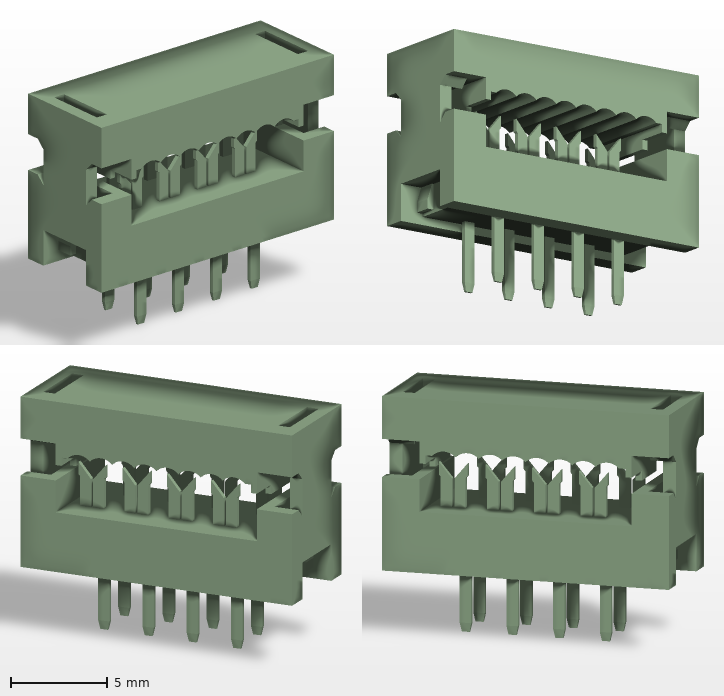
import cadquery as cq


LENGTH = 15.61
DEPTH = 6.0
BODY_TOP = 9.27
END_Y = LENGTH / 2

SHOULDER_TOP = 4.98
CHANNEL_FLOOR = 3.25
WINDOW_HALF = 5.78
UNDERSIDE_RELIEF = 0.44
END_NOTCH_TOP = 2.0

COVER_END_BOTTOM = 7.0
VALLEY_Z = 6.28
APEX_Z = 6.54
GUIDE_BOTTOM = 5.82
GUIDE_TIP = 5.3
GUIDE_TIP_DEPTH = 2.5
GUIDE_INNER = 5.45

LEG_WIDTH = 3.51
LEG_HALF = LEG_WIDTH / 2
LEG_INNER = 7.09
SLOT_INNER = 6.42
SLOT_FLOOR = CHANNEL_FLOOR
BEVEL = 0.45

HOOK_GAP = 1.58
HOOK_REACH = 0.37
HOOK_BOTTOM = 0.61
HOOK_LIP_TOP = 1.12
HOOK_RAMP_TOP = 2.33
RECESS_DEPTH = 0.45

PIN_PITCH = 2.55
PITCH = PIN_PITCH / 2
CONTACT_COUNT = 8
ROW_X = PITCH
CONTACT_THICKNESS = 0.25
CONTACT_HALF = 0.69
BARB_HALF = 0.78
WIRE_SLOT_HALF = 0.06
CONTACT_ROOT = 1.87
FORK_TOP = 5.62
THROAT_Z = 4.78
BARB_BOTTOM = 4.95

PIN_WIDTH = 0.62
PIN_ROW_SHIFT = 0.03
PIN_SHOULDER = -2.84
PIN_TIP = -3.32
PIN_TIP_WIDTH = 0.42
PIN_TIP_THICKNESS = 0.14


def box(x_range, y_range, z_range):
    """Axis-aligned box between the given limits."""
    size = [high - low for low, high in (x_range, y_range, z_range)]
    corner = cq.Vector(x_range[0], y_range[0], z_range[0])
    return cq.Workplane(cq.Solid.makeBox(*size, corner))


def centred(size):
    """Limits of a span centred on zero."""
    return (-size / 2, size / 2)


def both_ends(shape):
    """The shape together with its mirror image at the other end."""
    return shape.union(shape.mirror("XZ"))


def make_base():
    base = box(centred(DEPTH), centred(LENGTH), (0, SHOULDER_TOP))
    channel = box(centred(DEPTH), centred(2 * WINDOW_HALF), (CHANNEL_FLOOR, SHOULDER_TOP))
    relief = box(centred(LEG_WIDTH), centred(LENGTH), (0, UNDERSIDE_RELIEF))
    end_notch = box(centred(LEG_WIDTH), (SLOT_INNER, END_Y), (0, END_NOTCH_TOP))
    return base.cut(channel).cut(relief).cut(both_ends(end_notch))


def make_cover():
    """Cover extruded along X from its scalloped outline in the YZ plane."""
    scallop_end = CONTACT_COUNT * PITCH / 2
    outline = (
        cq.Workplane("YZ")
        .moveTo(-END_Y, BODY_TOP)
        .lineTo(-END_Y, COVER_END_BOTTOM)
        .lineTo(-WINDOW_HALF, COVER_END_BOTTOM)
        .lineTo(-WINDOW_HALF, GUIDE_BOTTOM)
        .lineTo(-GUIDE_INNER, GUIDE_BOTTOM)
        .lineTo(-GUIDE_INNER, VALLEY_Z)
        .lineTo(-scallop_end, VALLEY_Z)
    )
    for index in range(CONTACT_COUNT):
        start = -scallop_end + index * PITCH
        outline = outline.threePointArc((start + PITCH / 2, APEX_Z), (start + PITCH, VALLEY_Z))
    outline = (
        outline.lineTo(GUIDE_INNER, VALLEY_Z)
        .lineTo(GUIDE_INNER, GUIDE_BOTTOM)
        .lineTo(WINDOW_HALF, GUIDE_BOTTOM)
        .lineTo(WINDOW_HALF, COVER_END_BOTTOM)
        .lineTo(END_Y, COVER_END_BOTTOM)
        .lineTo(END_Y, BODY_TOP)
        .close()
    )
    cover = outline.extrude(DEPTH / 2, both=True)
    guide_tip = box(centred(GUIDE_TIP_DEPTH), (GUIDE_INNER, WINDOW_HALF), (GUIDE_TIP, GUIDE_BOTTOM))
    return cover.union(both_ends(guide_tip))


def end_prism(points):
    """XZ outline extruded over the length of a latch end, at both ends."""
    prism = cq.Workplane("XZ", origin=(0, END_Y, 0)).polyline(points).close()
    return both_ends(prism.extrude(END_Y - SLOT_INNER))


def make_legs():
    """Legs joining cover to base, widened by bevels where they meet the cover."""
    bevel_bottom = COVER_END_BOTTOM - BEVEL
    leg = box(centred(LEG_WIDTH), (LEG_INNER, END_Y), (END_NOTCH_TOP, BODY_TOP))
    gusset = end_prism([
        (-LEG_HALF - BEVEL, COVER_END_BOTTOM),
        (-LEG_HALF, bevel_bottom),
        (LEG_HALF, bevel_bottom),
        (LEG_HALF + BEVEL, COVER_END_BOTTOM),
    ])
    return both_ends(leg).union(gusset)


def make_shoulder_bevels():
    """Material removed from the base shoulders on both sides of each leg."""
    right = end_prism([
        (LEG_HALF, SHOULDER_TOP),
        (LEG_HALF + BEVEL, SHOULDER_TOP),
        (LEG_HALF, SHOULDER_TOP - BEVEL),
    ])
    return right.union(right.mirror("YZ"))


def make_slots():
    """Slots behind the legs, with a shallow step in the floor."""
    slot = box(centred(LEG_WIDTH), (SLOT_INNER, LEG_INNER), (SLOT_FLOOR, BODY_TOP))
    recess = box(
        centred(HOOK_GAP),
        (SLOT_INNER, SLOT_INNER + HOOK_REACH),
        (SLOT_FLOOR - RECESS_DEPTH, SLOT_FLOOR),
    )
    return both_ends(slot.union(recess))


def make_hooks():
    """Ramped hooks on the inner wall of each end notch, two per end."""
    lip_y = SLOT_INNER + HOOK_REACH
    hook = (
        cq.Workplane("YZ", origin=(HOOK_GAP / 2, 0, 0))
        .polyline([
            (SLOT_INNER, HOOK_BOTTOM),
            (lip_y, HOOK_BOTTOM),
            (lip_y, HOOK_LIP_TOP),
            (SLOT_INNER, HOOK_RAMP_TOP),
        ])
        .close()
        .extrude(LEG_HALF - HOOK_GAP / 2)
    )
    return both_ends(hook.union(hook.mirror("YZ")))


def make_contact(row_x, fork_y):
    """Forked contact rooted inside the base."""
    barb_step = BARB_HALF - CONTACT_HALF
    half_outline = [
        (CONTACT_HALF, CONTACT_ROOT),
        (CONTACT_HALF, BARB_BOTTOM - barb_step),
        (BARB_HALF, BARB_BOTTOM),
        (BARB_HALF, FORK_TOP),
        (WIRE_SLOT_HALF, THROAT_Z),
        (WIRE_SLOT_HALF, CHANNEL_FLOOR),
    ]
    other_half = [(-y, z) for y, z in reversed(half_outline)]
    fork = cq.Workplane("YZ", origin=(row_x, fork_y, 0)).polyline(half_outline + other_half).close()
    return fork.extrude(CONTACT_THICKNESS / 2, both=True)


def make_pin(row_x, pin_y):
    """Flat solder pin with a tapered tip."""
    shank = (
        cq.Workplane("XY", origin=(row_x, pin_y, PIN_SHOULDER))
        .rect(CONTACT_THICKNESS, PIN_WIDTH)
        .extrude(CONTACT_ROOT - PIN_SHOULDER)
    )
    tip = (
        cq.Workplane("XY", origin=(row_x, pin_y, PIN_SHOULDER))
        .rect(CONTACT_THICKNESS, PIN_WIDTH)
        .workplane(offset=PIN_TIP - PIN_SHOULDER)
        .rect(PIN_TIP_THICKNESS, PIN_TIP_WIDTH)
        .loft()
    )
    return shank.union(tip)


result = make_base().union(make_cover()).union(make_legs())
result = result.cut(make_shoulder_bevels()).cut(make_slots()).union(make_hooks())

for index in range(CONTACT_COUNT):
    fork_y = (index - (CONTACT_COUNT - 1) / 2) * PITCH
    side = 1 if index % 2 == 0 else -1
    row_x = side * ROW_X
    pin_y = fork_y + side * (PITCH / 2 + PIN_ROW_SHIFT)
    result = result.union(make_contact(row_x, fork_y)).union(make_pin(row_x, pin_y))